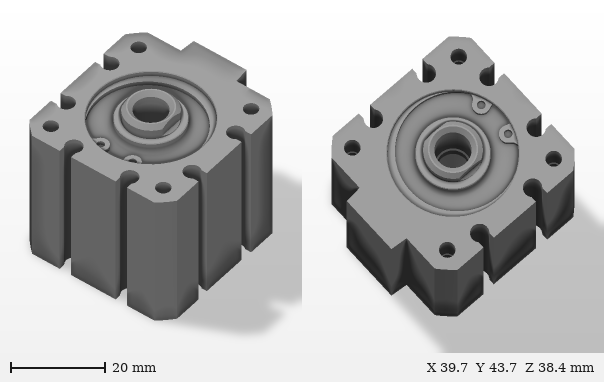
import cadquery as cq
import math

overall_depth = 43.65
body_width = 39.7
body_height = 35.0
overall_height = 38.35

half_width = body_width / 2

corner_radius = 25.75
side_relief = 0.17
rail_depth = overall_depth - body_width
rail_tip_width = 14.25
rail_root_width = 14.95

groove_spacing = 15.0
groove_radius = 2.05
groove_neck_width = 3.05
groove_centre_depth = 2.93

mount_spacing = 30.2
mount_radius = 1.45
mount_bore_radius = 1.75
mount_bore_depth = 8.75

recess_radius = 13.95
recess_depth = 2.4
recess_chamfer = 0.17
collar_radius = 8.0
collar_chamfer = 0.17
collar_fillet = 1.05

rod_radius = 6.35
rod_bottom = 8.75
rod_hole_chamfer = 0.17
rod_chamfer_width = 1.0
rod_chamfer_height = 1.05
flat_width = 11.0
flat_rise = 0.4
flat_seat_angle = 30.0
thread_radius = 3.95
thread_depth = 13.1
countersink_radius = 4.98
pilot_radius = 3.5
pilot_depth = 15.7
drill_tip_half_angle = 59.0

ring_thickness = 1.05
ring_outer_radius = 14.85
ring_inner_radius = 13.25
ring_inner_offset = 1.22
lug_spacing = 8.55
lug_centre_y = -11.85
lug_radius = 1.95
lug_hole_radius = 0.9
blend_radius = 1.85
blend_angle = 30.0

recess_floor = body_height - recess_depth
ring_top = recess_floor + ring_thickness


def cylinder(radius, bottom, top):
    return cq.Workplane("XY").workplane(offset=bottom).circle(radius).extrude(top - bottom)


def box(x_size, y_size, bottom, top):
    return cq.Workplane("XY").workplane(offset=bottom).rect(x_size, y_size).extrude(top - bottom)


def revolve_about_rod_axis(section):
    return section.revolve(360, (0, 0, 0), (0, 1, 0))


def sensor_groove(along, turn):
    """Groove on the -Y face at X = along, turned about Z onto another face."""
    axis_y = groove_centre_depth - half_width
    channel = cylinder(groove_radius, 0, body_height).translate((along, axis_y, 0))
    neck = box(groove_neck_width, 2 * groove_centre_depth, 0, body_height)
    neck = neck.translate((along, -half_width, 0))
    return channel.union(neck).rotate((0, 0, 0), (0, 0, 1), turn)


def side_relief_cut(side):
    """Shallow set-back of one X face between its two grooves."""
    cut = box(2 * side_relief, groove_spacing, 0, body_height)
    return cut.translate((side * half_width, 0, 0))


def rail():
    """Tapered full-height rail on the +Y face, its root sunk into the body."""
    return (
        cq.Workplane("XY")
        .moveTo(-rail_root_width / 2, half_width)
        .lineTo(-rail_tip_width / 2, half_width + rail_depth)
        .lineTo(rail_tip_width / 2, half_width + rail_depth)
        .lineTo(rail_root_width / 2, half_width)
        .lineTo(rail_root_width / 2, 0)
        .lineTo(-rail_root_width / 2, 0)
        .close()
        .extrude(body_height)
    )


def recess_cut():
    """Space around the filleted collar, with the undercut groove that holds the retaining ring."""
    section = (
        cq.Workplane("XZ")
        .moveTo(recess_radius + recess_chamfer, body_height)
        .lineTo(recess_radius, body_height - recess_chamfer)
        .lineTo(recess_radius, ring_top)
        .lineTo(ring_outer_radius, ring_top)
        .lineTo(ring_outer_radius, recess_floor)
        .lineTo(collar_radius + collar_fillet, recess_floor)
        .radiusArc((collar_radius, recess_floor + collar_fillet), collar_fillet)
        .lineTo(collar_radius, body_height - collar_chamfer)
        .lineTo(collar_radius - collar_chamfer, body_height)
        .close()
    )
    return revolve_about_rod_axis(section)


def rod_hole():
    """Blind hole filled by the rod, chamfered at the collar's top."""
    section = (
        cq.Workplane("XZ")
        .moveTo(0, rod_bottom)
        .lineTo(rod_radius, rod_bottom)
        .lineTo(rod_radius, body_height - rod_hole_chamfer)
        .lineTo(rod_radius + rod_hole_chamfer, body_height)
        .lineTo(0, body_height)
        .close()
    )
    return revolve_about_rod_axis(section)


def mounting_holes(body):
    return (
        body.faces(">Z").workplane(origin=(0, 0, body_height))
        .rect(mount_spacing, mount_spacing, forConstruction=True).vertices()
        .cboreHole(2 * mount_radius, 2 * mount_bore_radius, mount_bore_depth)
    )


def make_housing():
    body = box(body_width, body_width, 0, body_height)
    body = body.intersect(cylinder(corner_radius, 0, body_height)).union(rail())
    for turn in (0, -90, 90):
        for along in (-groove_spacing / 2, groove_spacing / 2):
            body = body.cut(sensor_groove(along, turn))
    for side in (-1, 1):
        body = body.cut(side_relief_cut(side))
    return mounting_holes(body).cut(recess_cut()).cut(rod_hole())


housing = make_housing()


def rod_blank():
    """Turned rod with a countersunk thread hole and a drilled pilot below it."""
    countersink_depth = countersink_radius - thread_radius
    pilot_bottom = overall_height - pilot_depth
    tip_depth = pilot_radius / math.tan(math.radians(drill_tip_half_angle))
    section = (
        cq.Workplane("XZ")
        .moveTo(0, rod_bottom)
        .lineTo(rod_radius, rod_bottom)
        .lineTo(rod_radius, overall_height - rod_chamfer_height)
        .lineTo(rod_radius - rod_chamfer_width, overall_height)
        .lineTo(countersink_radius, overall_height)
        .lineTo(thread_radius, overall_height - countersink_depth)
        .lineTo(thread_radius, overall_height - thread_depth)
        .lineTo(pilot_radius, overall_height - thread_depth)
        .lineTo(pilot_radius, pilot_bottom)
        .lineTo(0, pilot_bottom - tip_depth)
        .close()
    )
    return revolve_about_rod_axis(section)


def flat_cut(side):
    """Everything outside one wrench flat, down to its sloping seat."""
    inner_x = flat_width / 2
    outer_x = rod_radius
    seat_height = body_height + flat_rise
    seat_drop = (outer_x - inner_x) * math.tan(math.radians(flat_seat_angle))
    return (
        cq.Workplane("XZ")
        .moveTo(side * inner_x, overall_height)
        .lineTo(side * inner_x, seat_height)
        .lineTo(side * outer_x, seat_height - seat_drop)
        .lineTo(side * outer_x, overall_height)
        .close()
        .extrude(rod_radius, both=True)
    )


def make_rod():
    return rod_blank().cut(flat_cut(-1)).cut(flat_cut(1))


rod = make_rod()


def polar(centre, radius, angle):
    return (
        centre[0] + radius * math.cos(math.radians(angle)),
        centre[1] + radius * math.sin(math.radians(angle)),
    )


def lug_blend():
    """Concave web from the +X lug out to the ring's rim."""
    lug_centre = (lug_spacing / 2, lug_centre_y)
    arc_centre = polar(lug_centre, lug_radius + blend_radius, blend_angle)
    arc_start = polar(lug_centre, lug_radius, blend_angle)
    arc_middle = polar(arc_centre, blend_radius, (blend_angle + 180 + 270) / 2)
    arc_end = polar(arc_centre, blend_radius, 270)
    return (
        cq.Workplane("XY", origin=(0, 0, recess_floor))
        .moveTo(*lug_centre)
        .lineTo(*arc_start)
        .threePointArc(arc_middle, arc_end)
        .lineTo(arc_end[0], -ring_outer_radius)
        .lineTo(lug_centre[0], -ring_outer_radius)
        .close()
        .extrude(ring_thickness)
    )


def ring_lug():
    """The +X lug: a round eye, a web running out along its radius and a blend to the rim."""
    lug_x = lug_spacing / 2
    outward = math.degrees(math.atan2(lug_centre_y, lug_x))
    web = box(ring_outer_radius, 2 * lug_radius, recess_floor, ring_top)
    web = web.translate((ring_outer_radius / 2, 0, 0)).rotate((0, 0, 0), (0, 0, 1), outward)
    eye = cylinder(lug_radius, recess_floor, ring_top)
    return eye.union(web).translate((lug_x, lug_centre_y, 0)).union(lug_blend())


def make_ring():
    disc = cylinder(ring_outer_radius, recess_floor, ring_top)
    opening = cylinder(ring_inner_radius, recess_floor, ring_top).translate((0, -ring_inner_offset, 0))
    gap = box(lug_spacing, ring_outer_radius, recess_floor, ring_top).translate((0, -ring_outer_radius, 0))
    lug = ring_lug().intersect(disc)
    ring = disc.cut(opening).cut(gap).union(lug).union(lug.mirror("YZ"))
    for side in (-1, 1):
        hole = cylinder(lug_hole_radius, recess_floor, ring_top)
        ring = ring.cut(hole.translate((side * lug_spacing / 2, lug_centre_y, 0)))
    return ring


retaining_ring = make_ring()

result = cq.Compound.makeCompound([housing.val(), rod.val(), retaining_ring.val()])